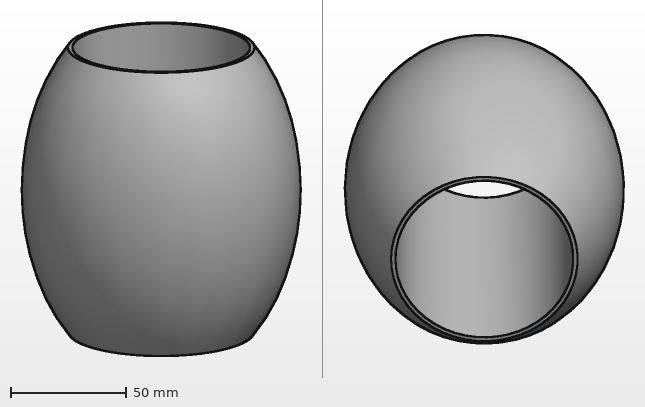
import cadquery as cq
import math

height = 127.5
belly_diameter = 121.0
rim_diameter = 80.8
bore_diameter = 77.0

half_height = height / 2
belly_radius = belly_diameter / 2
rim_radius = rim_diameter / 2
bore_radius = bore_diameter / 2

ellipse_half_height = half_height / math.sqrt(1 - (rim_radius / belly_radius) ** 2)


def barrel_point(angle):
    """Point on the outer ellipse; angle 0 is the belly."""
    return (belly_radius * math.cos(angle), ellipse_half_height * math.sin(angle))


rim_angle = math.acos(rim_radius / belly_radius)

outer_curve = cq.Workplane("XZ").parametricCurve(barrel_point, start=-rim_angle, stop=rim_angle, makeWire=False)
section = (
    outer_curve
    .moveTo(rim_radius, half_height)
    .lineTo(bore_radius, half_height)
    .lineTo(bore_radius, -half_height)
    .lineTo(rim_radius, -half_height)
    .wire()
)

result = section.revolve(360, (0, 0, 0), (0, 1, 0))